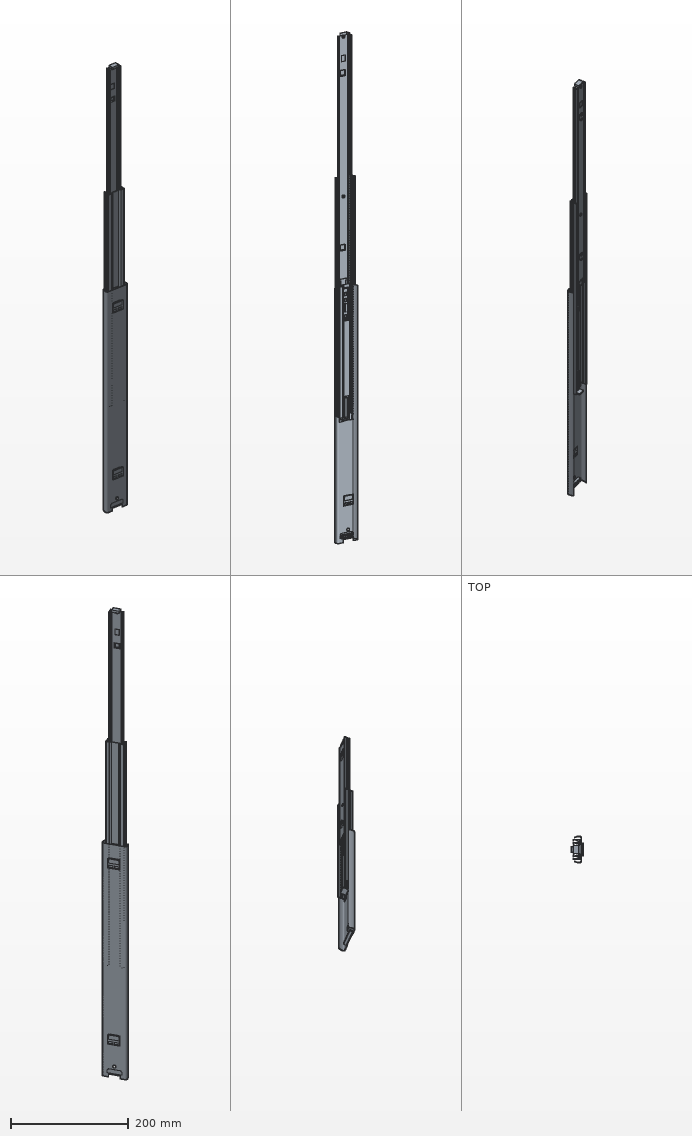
import cadquery as cq
import math


total_length = 900.0
total_width = 46.0
sheet = 1.35
hook_height = 3.0
pin_hole_diameter = 5.0
groove_depth = 1.0
groove_half_width = 2.0

outer_length = 450.0
outer_depth = 12.15
outer_half_width = total_width / 2
flange_straight = 4.05
flange_lean = 2.0
tip_radius = 1.3
bend_radius = 4.0
outer_notch_width = 22.0
outer_notch_height = 5.0
outer_pin_z = 22.0

middle_bottom = 214.0
middle_top = 645.0
middle_back = -2.25
middle_front = -15.0
middle_half_width = 17.0
middle_lip_width = 2.25
middle_groove_x = -8.0
middle_flange_bottom = 222.0
ridge_height = 2.25
ridge_half_width = 6.0
ridge_foot_half_width = 10.0

inner_bottom = 453.0
inner_front = -15.0
inner_back = -5.0
inner_half_width = 12.15
inner_rim_width = 2.0
inner_web_half_width = 9.0
inner_web_recess = 1.0
inner_groove_x = -9.0
inner_tongue_height = 4.5
inner_tongue_width = 14.0
inner_pin_heights = (609.0, 893.0)

outer_hook_bottoms = (65.0, 405.0)
outer_hook_width = 22.0
outer_hook_length = 18.0
outer_hook_slot_height = 4.0
outer_hook_slot_gap = 3.0
inner_hook_bottoms = (513.0, 823.0)
inner_hook_width = 11.0
inner_hook_length = 10.0
inner_dimple_z = 854.0
inner_dimple_length = 11.0
inner_dimple_width = 8.0

outer_stop_width = 27.0
outer_stop_bottom = 7.0
outer_stop_height = 8.0
stop_chamfer = 3.0
stop_groove = 3.0
middle_stop_width = 12.0
middle_stop_length = 42.0
middle_stop_base = 2.0
middle_stop_bumper = 3.0
latch_bottom = 391.0
latch_top = 449.0
latch_height = 2.0
latch_tier_width = 10.0
latch_tier_margin = 2.0
latch_pocket_width = 5.0
latch_pocket_length = 5.0
latch_pocket_heights = (398.0, 427.0, 437.0)
latch_slot_z = 413.0
latch_slot_length = 14.0
latch_slot_width = 3.0
inner_stop_width = 11.0
inner_stop_height = 11.0
inner_stop_bar_width = 16.0
inner_stop_bar_height = 4.0

inner_web_front = inner_front + inner_web_recess
inner_web_back = inner_web_front + sheet
ridge_face = middle_back - sheet - ridge_height


def box(x_start, x_end, width, z_start, z_end):
    """A block centred on Y = 0 between two X and two Z positions."""
    return (
        cq.Workplane("XY")
        .box(x_end - x_start, width, z_end - z_start, centered=(False, True, False))
        .translate((x_start, 0, z_start))
    )


def pin_hole(x_start, x_end, z):
    """A round cutter along X."""
    return (
        cq.Workplane("YZ", origin=(x_start, 0, z))
        .circle(pin_hole_diameter / 2)
        .extrude(x_end - x_start)
    )


def offset_path(points, distance):
    """Shift a polyline sideways (to its left) by a distance, with mitred corners."""
    normals = []
    for (x1, y1), (x2, y2) in zip(points, points[1:]):
        run = math.hypot(x2 - x1, y2 - y1)
        normals.append(((y1 - y2) / run, (x2 - x1) / run))
    before = [normals[0]] + normals
    after = normals + [normals[-1]]
    shifted = []
    for (x, y), (ax, ay), (bx, by) in zip(points, before, after):
        stretch = distance / (1 + ax * bx + ay * by)
        shifted.append((x + stretch * (ax + bx), y + stretch * (ay + by)))
    return shifted


def bent_sheet(half_path, thickness, z_start, z_end):
    """A folded strip: half_path runs from the +Y flange to the web and is mirrored to -Y.

    A positive thickness lies to the left of the path, a negative one to its right.
    """
    path = half_path + [(x, -y) for x, y in reversed(half_path)]
    outline = path + offset_path(path, thickness)[::-1]
    return (
        cq.Workplane("XY", origin=(0, 0, z_start))
        .polyline(outline)
        .close()
        .extrude(z_end - z_start)
    )


def curved_channel(back, half_width):
    """Solid core between the two curved flanges of the outer rail."""
    run = outer_depth - flange_straight
    radius = (run**2 + flange_lean**2) / (2 * flange_lean)
    mid_lean = radius - math.sqrt(radius**2 - (run / 2) ** 2)
    tip = -outer_depth
    middle = (-flange_straight - run / 2, half_width - mid_lean)
    tip_y = half_width - flange_lean
    return (
        cq.Workplane("XY")
        .moveTo(back, half_width)
        .lineTo(-flange_straight, half_width)
        .threePointArc(middle, (tip, tip_y))
        .lineTo(tip, -tip_y)
        .threePointArc((middle[0], -middle[1]), (-flange_straight, -half_width))
        .lineTo(back, -half_width)
        .close()
        .extrude(outer_length)
    )


def add_outer_hook(rail, bottom):
    """A lanced hook behind the web, with a rounded window above its foot and two slots in the foot."""
    top = bottom + outer_hook_length
    foot_top = bottom + outer_hook_length / 2
    window_rounding = outer_hook_width / 6
    window = (
        box(-sheet, hook_height - sheet, outer_hook_width - 2 * sheet, foot_top, top)
        .edges("|X and >Z")
        .fillet(window_rounding)
    )
    rail = rail.union(box(0, hook_height, outer_hook_width, bottom, top)).cut(window)
    slot_width = (outer_hook_width - outer_hook_slot_gap) / 2 - sheet
    slot_bottom = bottom + sheet
    slot = box(-sheet, hook_height - sheet, slot_width, slot_bottom, slot_bottom + outer_hook_slot_height)
    for side in (-1, 1):
        rail = rail.cut(slot.translate((0, side * (outer_hook_slot_gap + slot_width) / 2, 0)))
    return rail


def make_outer_rail():
    cavity = curved_channel(-sheet, outer_half_width - sheet)
    cavity = cavity.edges("|Z and >X").fillet(bend_radius - sheet)
    shell = curved_channel(0, outer_half_width).edges("|Z and <X").fillet(tip_radius)
    rail = shell.edges("|Z and >X").fillet(bend_radius).cut(cavity)
    rail = rail.cut(box(-sheet, 0, outer_notch_width, 0, outer_notch_height))
    rail = rail.cut(pin_hole(-sheet, 0, outer_pin_z))
    for bottom in outer_hook_bottoms:
        rail = add_outer_hook(rail, bottom)
    return rail


def ball_groove(x, half_width):
    """Path points of a V-shaped groove in a flange, from its back to its front edge."""
    return [
        (x + groove_half_width, half_width),
        (x, half_width - groove_depth),
        (x - groove_half_width, half_width),
    ]


def make_middle_rail():
    half_path = [
        (middle_front, middle_half_width - middle_lip_width),
        (middle_front, middle_half_width),
        *reversed(ball_groove(middle_groove_x, middle_half_width)),
        (middle_back, middle_half_width),
        (middle_back, ridge_foot_half_width),
        (middle_back - ridge_height, ridge_half_width),
    ]
    rail = bent_sheet(half_path, -sheet, middle_bottom, middle_top)
    flange_width = middle_half_width - ridge_foot_half_width
    flange_relief = box(middle_front, middle_back - sheet, flange_width, middle_bottom, middle_flange_bottom)
    for side in (-1, 1):
        rail = rail.cut(flange_relief.translate((0, side * (ridge_foot_half_width + flange_width / 2), 0)))
    return rail


def add_inner_hook(rail, bottom):
    """A lanced hook standing in front of the web, open at its top."""
    top = bottom + inner_hook_length
    front = inner_front - hook_height
    opening_width = inner_hook_width - 2 * sheet
    rail = rail.union(box(front, inner_web_front, inner_hook_width, bottom, top))
    return rail.cut(box(front + sheet, inner_web_back, opening_width, bottom + sheet, top))


def make_inner_rail():
    half_path = [
        (inner_back, inner_half_width),
        *ball_groove(inner_groove_x, inner_half_width),
        (inner_front, inner_half_width),
        (inner_front, inner_half_width - inner_rim_width),
        (inner_web_front, inner_web_half_width),
    ]
    flange_top = total_length - inner_tongue_height
    rail = bent_sheet(half_path, sheet, inner_bottom, flange_top)
    rail = rail.union(box(inner_web_front, inner_back, inner_tongue_width, flange_top, total_length))
    for z in inner_pin_heights:
        rail = rail.cut(pin_hole(inner_web_front, inner_web_back, z))
    for bottom in inner_hook_bottoms:
        rail = add_inner_hook(rail, bottom)
    dimple_bottom = inner_dimple_z - inner_dimple_length / 2
    dimple_back = inner_web_front + sheet / 2
    dimple = box(
        inner_web_front, dimple_back, inner_dimple_width, dimple_bottom, dimple_bottom + inner_dimple_length
    )
    return rail.cut(dimple).cut(make_inner_stop())


def make_outer_stop():
    """Chamfered bumper on the web at the bottom of the outer rail, with a groove across its front."""
    top = outer_stop_bottom + outer_stop_height
    front = -outer_depth / 2
    stop = box(front, -sheet, outer_stop_width, outer_stop_bottom, top)
    stop = stop.edges("|X and >Z").chamfer(stop_chamfer)
    groove_bottom = (outer_stop_bottom + top - stop_groove) / 2
    groove_top = groove_bottom + stop_groove
    return stop.cut(box(front, front + stop_groove, outer_stop_width, groove_bottom, groove_top))


def make_middle_stop():
    """Low plate on the ridge with a slot along it and a bumper across its lower end."""
    top = middle_bottom + middle_stop_length
    base_front = ridge_face - middle_stop_base
    stop = box(base_front, ridge_face, middle_stop_width, middle_bottom, top)
    bumper_top = middle_bottom + middle_stop_bumper
    stop = stop.union(box(middle_front, ridge_face, middle_stop_width, middle_bottom, bumper_top))
    slot_width = middle_stop_width / 2
    slot = box(base_front, ridge_face, slot_width, bumper_top + middle_stop_bumper, top - middle_stop_bumper)
    return stop.cut(slot)


def make_latch():
    """Two-tier lever on the ridge below the inner rail, with pockets and a long slot in its upper tier."""
    base_front = ridge_face - latch_height
    front = base_front - latch_height
    latch = box(base_front, ridge_face, middle_stop_width, latch_bottom, latch_top)
    tier_bottom = latch_bottom + latch_tier_margin
    tier_top = latch_top - latch_tier_margin
    latch = latch.union(box(front, base_front, latch_tier_width, tier_bottom, tier_top))
    for z in latch_pocket_heights:
        bottom = z - latch_pocket_length / 2
        latch = latch.cut(box(front, base_front, latch_pocket_width, bottom, bottom + latch_pocket_length))
    slot_bottom = latch_slot_z - latch_slot_length / 2
    return latch.cut(box(front, ridge_face, latch_slot_width, slot_bottom, slot_bottom + latch_slot_length))


def make_inner_stop():
    """T-shaped bumper filling the notch at the bottom of the inner rail's web."""
    top = inner_bottom + inner_stop_height
    bar_bottom = top - inner_stop_bar_height
    stem = box(inner_web_front, inner_web_back, inner_stop_width, inner_bottom, bar_bottom)
    bar = box(inner_web_front, inner_web_back, inner_stop_bar_width, bar_bottom, top)
    return stem.union(bar)


outer_rail = make_outer_rail()
middle_rail = make_middle_rail()
inner_rail = make_inner_rail()
outer_stop = make_outer_stop()
middle_stop = make_middle_stop()
latch = make_latch()
inner_stop = make_inner_stop()

result = cq.Compound.makeCompound(
    [
        outer_rail.val(),
        middle_rail.val(),
        inner_rail.val(),
        outer_stop.val(),
        middle_stop.val(),
        latch.val(),
        inner_stop.val(),
    ]
)